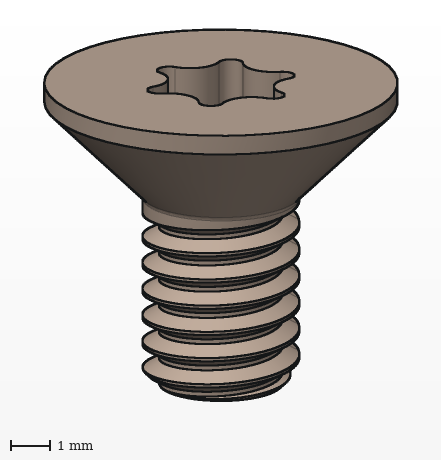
import cadquery as cq
import math


overall_length = 8.0
head_diameter = 9.0
head_rim_height = 0.5
thread_diameter = 4.0
head_radius = head_diameter / 2
thread_radius = thread_diameter / 2
head_height = head_rim_height + head_radius - thread_radius
neck_fillet = 0.15

pitch = 0.7
flank_angle = math.radians(30)
depth_to_pitch = 0.6
thread_depth = depth_to_pitch * pitch
crest_width = pitch / 8
root_radius = thread_radius - thread_depth
cutter_clearance = 0.05
root_half_width = (pitch - crest_width) / 2 - thread_depth * math.tan(flank_angle)
mouth_half_width = root_half_width + (thread_depth + cutter_clearance) * math.tan(flank_angle)

groove_z_at_start = -3.505
runout_start = 0.125
runout_end = 0.415
runout_lift = 0.02
runout_end_scale = 0.04
points_per_turn = 24
full_turns = math.ceil((overall_length + groove_z_at_start + root_half_width) / pitch + runout_start)

tip_chamfer = thread_depth

lobe_count = 6
socket_outer_radius = 1.99
socket_inner_radius = 1.371
lobe_radius = 0.31
socket_wall_depth = 1.585
floor_slope = math.radians(30)
floor_flat_radius = 0.28


def make_blank():
    """Revolved head and shank, with the neck rounded and the tip chamfered."""
    blank = (
        cq.Workplane("XZ")
        .moveTo(0, 0)
        .lineTo(head_radius, 0)
        .lineTo(head_radius, -head_rim_height)
        .lineTo(thread_radius, -head_height)
        .lineTo(thread_radius, -overall_length)
        .lineTo(0, -overall_length)
        .close()
        .revolve(360, (0, 0, 0), (0, 1, 0))
    )
    neck_edge = cq.selectors.NearestToPointSelector((0, 0, -head_height))
    return blank.edges(neck_edge).fillet(neck_fillet).faces("<Z").edges().chamfer(tip_chamfer)


def groove_point(turn, radius, z_offset):
    """Point on one corner line of the groove; the profile shrinks to the surface in the run-out."""
    runout = max(0.0, (turn - runout_start) / (runout_end - runout_start))
    scale = 1 - runout * (1 - runout_end_scale)
    point_radius = thread_radius + runout * runout_lift + scale * (radius - thread_radius)
    angle = 2 * math.pi * turn
    return cq.Vector(
        point_radius * math.cos(angle),
        point_radius * math.sin(angle),
        groove_z_at_start + pitch * turn + scale * z_offset,
    )


def groove_segment(first_turn, last_turn):
    """Solid following the groove profile between two positions on the helix."""
    outer_radius = thread_radius + cutter_clearance
    corners = [
        (root_radius, -root_half_width),
        (outer_radius, -mouth_half_width),
        (outer_radius, mouth_half_width),
        (root_radius, root_half_width),
    ]
    steps = math.ceil((last_turn - first_turn) * points_per_turn)
    turns = [first_turn + (last_turn - first_turn) * i / steps for i in range(steps + 1)]
    corner_lines = [
        cq.Edge.makeSpline([groove_point(turn, *corner) for turn in turns], parameters=turns)
        for corner in corners
    ]
    faces = [
        cq.Face.makeRuledSurface(line, corner_lines[(i + 1) % len(corner_lines)])
        for i, line in enumerate(corner_lines)
    ]
    for turn in (first_turn, last_turn):
        end_points = [groove_point(turn, *corner) for corner in corners]
        faces.append(cq.Face.makeFromWires(cq.Wire.makePolygon(end_points, close=True)))
    return cq.Solid.makeSolid(cq.Shell.makeShell(faces)).fix()


def make_socket():
    """Six-lobe prism of tangent arcs, limited below by a blunt conical floor."""
    half_step = math.pi / lobe_count
    lobe_centre = socket_outer_radius - lobe_radius
    reach = lobe_centre * math.cos(half_step)
    valley_radius = (
        socket_inner_radius**2 + lobe_centre**2 - 2 * socket_inner_radius * reach - lobe_radius**2
    ) / (2 * (lobe_radius + reach - socket_inner_radius))
    valley_centre = socket_inner_radius + valley_radius

    def polar(radius, angle):
        return (radius * math.cos(angle), radius * math.sin(angle))

    blend = lobe_radius / (lobe_radius + valley_radius)
    valley_x, valley_y = polar(valley_centre, half_step)
    tangent_x = lobe_centre + blend * (valley_x - lobe_centre)
    tangent_y = blend * valley_y
    tangent_radius = math.hypot(tangent_x, tangent_y)
    tangent_angle = math.atan2(tangent_y, tangent_x)

    outline = cq.Workplane("XY").moveTo(*polar(tangent_radius, -tangent_angle))
    for i in range(lobe_count):
        lobe_angle = 2 * half_step * i
        next_lobe_angle = lobe_angle + 2 * half_step
        outline = outline.threePointArc(
            polar(socket_outer_radius, lobe_angle),
            polar(tangent_radius, lobe_angle + tangent_angle),
        ).threePointArc(
            polar(socket_inner_radius, lobe_angle + half_step),
            polar(tangent_radius, next_lobe_angle - tangent_angle),
        )
    floor_depth = socket_wall_depth + (socket_outer_radius - floor_flat_radius) * math.tan(floor_slope)
    prism = outline.close().extrude(-floor_depth)

    bore_radius = socket_outer_radius + lobe_radius
    bore_depth = floor_depth - (bore_radius - floor_flat_radius) * math.tan(floor_slope)
    bore = (
        cq.Workplane("XZ")
        .lineTo(bore_radius, 0)
        .lineTo(bore_radius, -bore_depth)
        .lineTo(floor_flat_radius, -floor_depth)
        .lineTo(0, -floor_depth)
        .close()
        .revolve(360, (0, 0, 0), (0, 1, 0))
    )
    return prism.intersect(bore)


def cut_thread(screw):
    """Cut the groove one turn at a time up to the run-out, then the run-out itself."""
    for turn in range(full_turns):
        last_turn = runout_start - turn
        screw = screw.cut(cq.Workplane(groove_segment(last_turn - 1, last_turn)))
    return screw.cut(cq.Workplane(groove_segment(runout_start, runout_end)))


result = cut_thread(make_blank().cut(make_socket()))